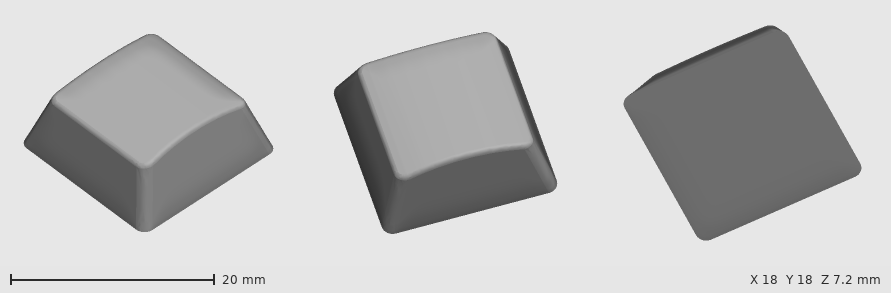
import cadquery as cq
import math

base_size = 18.0
crown_height = 7.2
side_draft = 18.0
end_draft = 17.5
crown_radius = 26.0
corner_radius = 1.2
rim_radius = 0.6

trim_allowance = 1.0
blank_height = crown_height + trim_allowance


def narrowed_width(draft):
    """Width left at the top of the blank between two opposite leaning walls."""
    return base_size - 2 * blank_height * math.tan(math.radians(draft))


def tapered_blank():
    """Solid frustum with its four sloping corner edges rounded."""
    frustum = (
        cq.Workplane("XY")
        .rect(base_size, base_size)
        .workplane(offset=blank_height)
        .rect(narrowed_width(side_draft), narrowed_width(end_draft))
        .loft(ruled=True)
    )
    return frustum.edges("not #Z").fillet(corner_radius)


def arch_height(y):
    """Height of the arched top at distance y from its ridge."""
    return crown_height - crown_radius + math.sqrt(crown_radius**2 - y**2)


def crown_envelope():
    """Block bounded above by the arch, which is highest along Y = 0."""
    half_size = base_size / 2
    profile = (
        cq.Workplane("YZ", origin=(-half_size, 0, 0))
        .moveTo(-half_size, 0)
        .lineTo(-half_size, arch_height(half_size))
        .threePointArc((0, crown_height), (half_size, arch_height(half_size)))
        .lineTo(half_size, 0)
        .close()
    )
    return profile.extrude(base_size)


def round_rim(body):
    """Round all the edges between the walls and the arched top."""
    rim_edges = cq.selectors.BoxSelector(
        (-base_size, -base_size, arch_height(base_size / 2)),
        (base_size, base_size, blank_height),
    )
    return body.edges(rim_edges).fillet(rim_radius)


trimmed_body = tapered_blank().intersect(crown_envelope())
result = round_rim(trimmed_body)